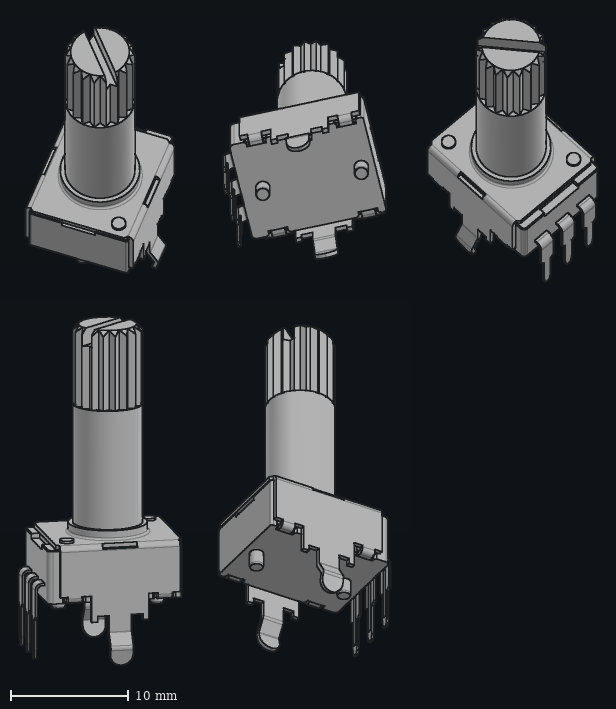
import cadquery as cq
import math


sheet = 0.4
cover_half_width = 4.9
plate_half_length = 5.5
flange_half_length = 5.25
plate_corner = plate_half_length - flange_half_length
bend_radius = 0.5
bend_inner_radius = bend_radius - sheet
window_width = 3.02
collar_diameter = 6.8
collar_top = 5.9
collar_fillet = 0.2
pip_diameter = 1.2
pip_height = 0.2
pip_x = 3.25
pip_y = 4.32

case_half_width = cover_half_width - sheet
case_front = -plate_half_length
case_back = 6.25
case_top = 4.7
case_front_radius = 0.2
case_back_radius = 0.4
case_top_chamfer = 0.1
recess_depth = 0.43
front_recess_width = 3.02
back_recess_width = 4.03
peg_diameter = 1.2
peg_length = 1.4
peg_chamfer_height = 0.2
peg_chamfer_inset = 0.05
peg_y = 4.32

cover_top = case_top + sheet

flange_bottom = 0.6
apron_half_width = 2.5
foot_inner = 2.0
foot_bottom = -1.7
apron_bottom = -1.18
leg_width = 2.0
leg_tip_radius = 0.98
leg_bottom = -5.5

leg_bend_z = -2.62
knee_x = 5.7
knee_z = -3.85
leg_tip_x = 5.27
leg_inner_radius = 0.1

tab_y = 3.95
tab_width = 1.2
tab_reach = 0.85

pocket_gap = 0.23
pocket_flare = 0.17

shaft_diameter = 6.0
shaft_top = 23.3
spline_length = 7.0
spline_teeth = 18
shaft_chamfer = 0.5
slot_width = 0.98
slot_depth = 1.5
slot_angle = -50

terminal_pitch = 2.5
terminal_sheet = 0.2
terminal_outer_y = 7.08
terminal_top = 1.55
terminal_bend_radius = 0.6
terminal_wide = 1.45
terminal_narrow = 0.75
terminal_tip_width = 0.5
shoulder_top = -1.4
shoulder_bottom = -1.73
taper_top = -4.38
terminal_bottom = -5.15
rib_width = 0.35
rib_height = 0.1
rib_top = 0.72
rib_bottom = -4.18


def box(x_range, y_range, z_range):
    """Axis-aligned box between the given pairs of limits."""
    size = [high - low for low, high in (x_range, y_range, z_range)]
    corner = (x_range[0], y_range[0], z_range[0])
    return cq.Workplane("XY").box(*size, centered=False).translate(corner)


def cylinder(diameter, bottom, top, x=0, y=0):
    """Upright cylinder between two heights."""
    return cq.Workplane("XY", origin=(x, y, bottom)).circle(diameter / 2).extrude(top - bottom)


def both_sides(body):
    """The body together with its mirror image across the YZ plane."""
    return body.union(body.mirror("YZ"))


def offset_path(path, distance):
    """Open XZ path moved sideways to its left, with mitred corners."""
    normals = []
    for (x0, z0), (x1, z1) in zip(path, path[1:]):
        length = math.hypot(x1 - x0, z1 - z0)
        normals.append(((z0 - z1) / length, (x1 - x0) / length))
    before = [normals[0]] + normals
    after = normals + [normals[-1]]
    moved = []
    for (x, z), (ax, az), (bx, bz) in zip(path, before, after):
        scale = distance / (1 + ax * bx + az * bz)
        moved.append((x + scale * (ax + bx), z + scale * (az + bz)))
    return moved


def fillet_at(body, point, radius):
    """Round the edge along Y that passes closest to an XZ point."""
    near = cq.selectors.NearestToPointSelector((point[0], 0, point[1]))
    return body.edges("|Y").edges(near).fillet(radius)


def bent_strip():
    """Right-hand flange and leg as one bent sheet of constant section along Y."""
    outer = [
        (case_half_width - 2 * sheet, cover_top),
        (cover_half_width, cover_top),
        (cover_half_width, leg_bend_z),
        (knee_x, knee_z),
        (leg_tip_x, leg_bottom),
    ]
    inner = offset_path(outer, -sheet)
    strip = (
        cq.Workplane("XZ")
        .polyline(outer + inner[::-1])
        .close()
        .extrude(flange_half_length, both=True)
    )
    strip = fillet_at(strip, outer[1], bend_radius)
    strip = fillet_at(strip, inner[1], bend_inner_radius)
    for inside, outside in ((outer[2], inner[2]), (inner[3], outer[3])):
        strip = fillet_at(strip, inside, leg_inner_radius)
        strip = fillet_at(strip, outside, leg_inner_radius + sheet)
    return strip


def flange_blank():
    """Flat outline of a flange with its apron, feet and leg, thick along X."""
    outline = (
        cq.Workplane("YZ")
        .moveTo(-flange_half_length, cover_top)
        .lineTo(-flange_half_length, flange_bottom)
        .lineTo(-apron_half_width, flange_bottom)
        .lineTo(-apron_half_width, foot_bottom)
        .lineTo(-foot_inner, foot_bottom)
        .lineTo(-foot_inner, apron_bottom)
        .lineTo(-leg_width / 2, apron_bottom)
        .lineTo(-leg_width / 2, leg_bottom)
        .lineTo(leg_width / 2, leg_bottom)
        .lineTo(leg_width / 2, apron_bottom)
        .lineTo(foot_inner, apron_bottom)
        .lineTo(foot_inner, foot_bottom)
        .lineTo(apron_half_width, foot_bottom)
        .lineTo(apron_half_width, flange_bottom)
        .lineTo(flange_half_length, flange_bottom)
        .lineTo(flange_half_length, cover_top)
        .close()
    )
    return outline.extrude(2 * cover_half_width)


def crimp_tab(y):
    """Tab that continues the flange down and curls inwards under the case."""
    start = cover_half_width - tab_reach
    tab = (
        box((start, cover_half_width), (-tab_width / 2, tab_width / 2), (0, flange_bottom))
        .cut(box((start, case_half_width), (-tab_width, tab_width), (sheet, flange_bottom)))
    )
    tab = fillet_at(tab, (cover_half_width, 0), bend_radius)
    tab = fillet_at(tab, (case_half_width, sheet), bend_inner_radius)
    return tab.translate((0, y, 0))


def make_flange():
    """Right-hand flange with its bend window and crimp tabs."""
    flange = bent_strip().intersect(flange_blank())
    tip_corners = cq.selectors.BoxSelector(
        (case_half_width, -leg_width, leg_bottom - sheet),
        (knee_x, leg_width, leg_bottom + sheet),
    )
    flange = flange.edges("not |Y").edges(tip_corners).fillet(leg_tip_radius)
    flange = flange.cut(
        box(
            (case_half_width, cover_half_width),
            (-window_width / 2, window_width / 2),
            (case_top, cover_top),
        )
    )
    for y in (-tab_y, tab_y):
        flange = flange.union(crimp_tab(y))
    return flange


def make_cover():
    """Plate with collar and pips, and a flange on each side."""
    plate_half_width = case_half_width - bend_inner_radius
    cover = box(
        (-plate_half_width, plate_half_width),
        (-plate_half_length, plate_half_length),
        (case_top, cover_top),
    )
    cover = cover.edges("|Z").chamfer(plate_corner)
    cover = cover.union(cylinder(collar_diameter, cover_top, collar_top))
    collar_root = cq.selectors.BoxSelector(
        (-collar_diameter, -collar_diameter, cover_top - sheet / 2),
        (collar_diameter, collar_diameter, cover_top + sheet / 2),
    )
    cover = cover.edges("%CIRCLE").edges(collar_root).fillet(collar_fillet)
    for side in (-1, 1):
        pip = cylinder(pip_diameter, cover_top, cover_top + pip_height, side * pip_x, -side * pip_y)
        cover = cover.union(pip)
    cover = cover.union(both_sides(make_flange()))
    return cover.cut(cylinder(shaft_diameter, case_top, collar_top))


def tab_pocket(y):
    """Room for one crimp tab, flared at 45 degrees where it opens on the side of the case."""
    half_width = tab_width / 2 + pocket_gap
    half_mouth = half_width + pocket_flare
    throat_x = case_half_width - pocket_flare
    mouth = box(
        (throat_x, cover_half_width),
        (-half_mouth, half_mouth),
        (0, sheet + pocket_flare),
    )
    mouth = mouth.faces("<X").edges("not <Z").chamfer(pocket_flare)
    throat = box((cover_half_width - tab_reach, throat_x), (-half_width, half_width), (0, sheet))
    return mouth.union(throat).translate((0, y, 0))


def make_case():
    """Block under the cover with edge recesses, tab pockets and locating pegs."""
    case = box((-case_half_width, case_half_width), (case_front, case_back), (0, case_top))
    case = case.edges("|Z and <Y").fillet(case_front_radius)
    case = case.edges("|Z and >Y").fillet(case_back_radius)
    case = case.faces(">Z").edges().chamfer(case_top_chamfer)
    recess_z = (case_top - recess_depth, case_top)
    half_front = front_recess_width / 2
    case = case.cut(
        box((-half_front, half_front), (case_front, case_front + recess_depth), recess_z)
    )
    half_back = back_recess_width / 2
    case = case.cut(box((-half_back, half_back), (plate_half_length, case_back), recess_z))
    for y in (-tab_y, tab_y):
        case = case.cut(both_sides(tab_pocket(y)))
    for y in (-peg_y, peg_y):
        peg = cylinder(peg_diameter, -peg_length, 0, y=y)
        case = case.union(peg.faces("<Z").chamfer(peg_chamfer_height, peg_chamfer_inset))
    return case


def make_shaft():
    """Round shaft with a splined, chamfered and slotted end."""
    radius = shaft_diameter / 2
    root = radius - shaft_chamfer
    spline_bottom = shaft_top - spline_length
    shaft = cylinder(shaft_diameter, case_top, spline_bottom)
    points = []
    for i in range(2 * spline_teeth):
        reach = radius if i % 2 == 0 else root
        angle = math.pi * i / spline_teeth
        points.append((reach * math.cos(angle), reach * math.sin(angle)))
    spline = (
        cq.Workplane("XY", origin=(0, 0, spline_bottom))
        .polyline(points)
        .close()
        .extrude(spline_length)
    )
    cone = cq.Workplane(cq.Solid.makeCone(
        root + spline_length, root, spline_length, pnt=cq.Vector(0, 0, spline_bottom)
    ))
    shaft = shaft.union(spline.intersect(cone))
    slot = box(
        (-shaft_diameter, shaft_diameter),
        (-slot_width / 2, slot_width / 2),
        (shaft_top - slot_depth, shaft_top),
    )
    return shaft.cut(slot.rotate((0, 0, 0), (0, 0, 1), slot_angle))


def make_terminal(x):
    """Lead that leaves the back of the case, turns down and narrows to a tip."""
    inner_y = terminal_outer_y - terminal_sheet
    lead = box(
        (-terminal_wide / 2, terminal_wide / 2),
        (case_back, terminal_outer_y),
        (terminal_bottom, terminal_top),
    )
    lead = lead.edges("|X and >Y and >Z").fillet(terminal_bend_radius)
    hollow = box(
        (-terminal_wide, terminal_wide),
        (case_back, inner_y),
        (terminal_bottom, terminal_top - terminal_sheet),
    )
    hollow = hollow.edges("|X and >Y and >Z").fillet(terminal_bend_radius - terminal_sheet)
    lead = lead.cut(hollow)
    right_outline = [
        (terminal_wide / 2, terminal_top),
        (terminal_wide / 2, shoulder_top),
        (terminal_narrow / 2, shoulder_bottom),
        (terminal_narrow / 2, taper_top),
        (terminal_tip_width / 2, terminal_bottom),
    ]
    left_outline = [(-px, pz) for px, pz in reversed(right_outline)]
    blank = (
        cq.Workplane("XZ", origin=(0, terminal_outer_y, 0))
        .polyline(right_outline + left_outline)
        .close()
        .extrude(terminal_outer_y - case_back)
    )
    lead = lead.intersect(blank)
    rib = (
        cq.Workplane("XY", origin=(0, 0, rib_bottom))
        .moveTo(-rib_width / 2, inner_y)
        .threePointArc((0, inner_y - rib_height), (rib_width / 2, inner_y))
        .close()
        .extrude(rib_top - rib_bottom)
    )
    return lead.union(rib).translate((x, 0, 0))


cover = make_cover()
case = make_case()
shaft = make_shaft()
terminals = [make_terminal(column * terminal_pitch) for column in (-1, 0, 1)]

result = cq.Compound.makeCompound(
    [cover.val(), case.val(), shaft.val(), *[terminal.val() for terminal in terminals]]
)